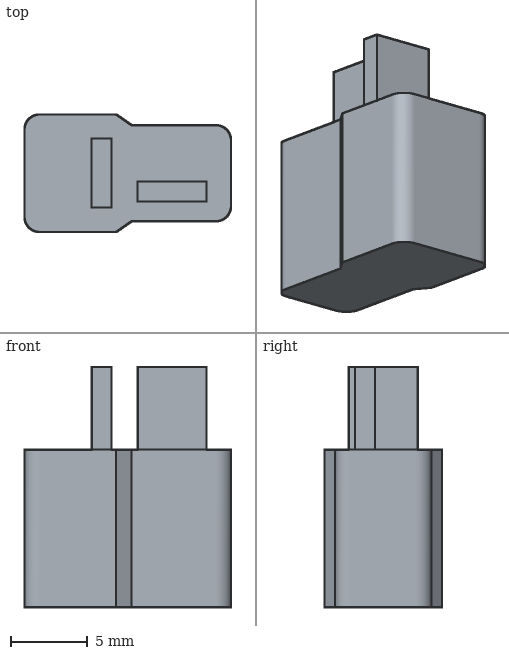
import cadquery as cq

total_height = 15.7
body_length = 13.5
wide_width = 7.7
narrow_width = 6.3

body_height = 10.3
wide_length = 6.0
taper_length = 1.0
corner_radius = 1.0

blade_thickness = 1.3
blade_width = 4.5
cross_blade_left = 4.4
long_blade_left = 7.4
long_blade_offset = -1.2

wide_end_x = -body_length / 2
narrow_end_x = body_length / 2


def make_body():
    taper_start = wide_end_x + wide_length
    taper_end = taper_start + taper_length
    half_wide = wide_width / 2
    half_narrow = narrow_width / 2
    outline = [
        (wide_end_x, -half_wide),
        (taper_start, -half_wide),
        (taper_end, -half_narrow),
        (narrow_end_x, -half_narrow),
        (narrow_end_x, half_narrow),
        (taper_end, half_narrow),
        (taper_start, half_wide),
        (wide_end_x, half_wide),
    ]
    block = cq.Workplane("XY").polyline(outline).close().extrude(body_height)
    end_corners = block.faces("<X or >X").edges("|Z")
    return end_corners.fillet(corner_radius)


def make_blade(left, center_y, size_x, size_y):
    """Upright blade from the base to the full height, embedded in the body."""
    center_x = wide_end_x + left + size_x / 2
    return (
        cq.Workplane("XY")
        .center(center_x, center_y)
        .rect(size_x, size_y)
        .extrude(total_height)
    )


cross_blade = make_blade(cross_blade_left, 0, blade_thickness, blade_width)
long_blade = make_blade(long_blade_left, long_blade_offset, blade_width, blade_thickness)

result = make_body().union(cross_blade).union(long_blade).clean()